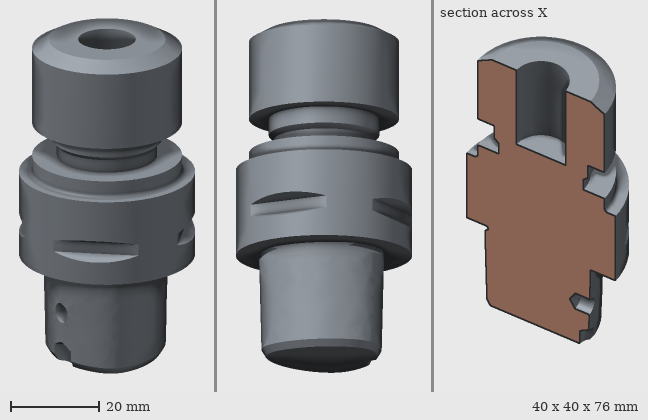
import cadquery as cq
import math

total_height = 76.0
chamfer_top_z = 1.6
taper_top_z = 21.5
flange_bottom_z = 24.0
flange_top_z = 44.0
collar_bottom_z = 44.9
collar_top_z = 47.95
neck_chamfer_bottom_z = 51.0
neck_chamfer_top_z = 52.05
nut_bottom_z = 55.85
nut_chamfer_z = 73.9

flange_radius = 20.0
collar_radius = 17.0
nut_radius = collar_radius
nut_face_radius = 13.2
neck_radius = 11.4
thread_radius = 12.55
collar_fillet = collar_bottom_z - flange_top_z

bore_radius = 6.5
bore_depth = 22.8

shank_radius = 14.1
lobe_height = 0.9
taper_per_side = 1 / 40
end_chamfer = 1.0
points_per_section = 48

relief_radius = 14.1
relief_top_radius = 14.45
relief_deepest_depth = 0.7
relief_height = 1.75
relief_outer_radius = 15.2

groove_count = 4
groove_floor_distance = 17.5
groove_floor_height = 2.65
groove_center_z = 31.9
groove_side_angle = 27.0

hole_radius = 2.32
hole_z = 12.55
hole_floor_y = -9.1
notch_radius = 3.4
notch_axis_y = -13.8
notch_shoulder_z = 3.95
drill_half_angle = 59.0


def lobed_section(mean_radius, z):
    """Closed three-lobed curve with one lobe toward +Y, from its distance to the tangent lines."""
    points = []
    for index in range(points_per_section):
        angle = 2 * math.pi * index / points_per_section
        tangent_distance = mean_radius + lobe_height * math.cos(3 * angle)
        slope = -3 * lobe_height * math.sin(3 * angle)
        x = tangent_distance * math.sin(angle) + slope * math.cos(angle)
        y = tangent_distance * math.cos(angle) - slope * math.sin(angle)
        points.append(cq.Vector(x, y, z))
    return cq.Wire.assembleEdges([cq.Edge.makeSpline(points, periodic=True)])


def lobed_loft(lower_radius, lower_z, upper_radius, upper_z):
    sections = [lobed_section(lower_radius, lower_z), lobed_section(upper_radius, upper_z)]
    return cq.Workplane(obj=cq.Solid.makeLoft(sections, True))


def make_shank():
    chamfer_radius = shank_radius - taper_per_side * (taper_top_z - chamfer_top_z)
    end = lobed_loft(chamfer_radius - end_chamfer, 0, chamfer_radius, chamfer_top_z)
    taper = lobed_loft(chamfer_radius, chamfer_top_z, shank_radius, taper_top_z)
    straight = lobed_loft(shank_radius, taper_top_z, shank_radius, flange_bottom_z)
    return end.union(taper).union(straight)


def make_relief():
    profile = (
        cq.Workplane("XZ")
        .moveTo(relief_top_radius, flange_bottom_z)
        .lineTo(relief_radius, flange_bottom_z - relief_deepest_depth)
        .lineTo(relief_outer_radius, flange_bottom_z - relief_height)
        .lineTo(relief_outer_radius, flange_bottom_z)
        .close()
    )
    return profile.revolve(360, (0, 0, 0), (0, 1, 0))


def make_turned_body():
    fillet_middle = collar_fillet * (1 - math.sqrt(0.5))
    profile = (
        cq.Workplane("XZ")
        .moveTo(0, flange_bottom_z)
        .lineTo(flange_radius, flange_bottom_z)
        .lineTo(flange_radius, flange_top_z)
        .lineTo(collar_radius + collar_fillet, flange_top_z)
        .threePointArc(
            (collar_radius + fillet_middle, flange_top_z + fillet_middle),
            (collar_radius, collar_bottom_z),
        )
        .lineTo(collar_radius, collar_top_z)
        .lineTo(neck_radius, collar_top_z)
        .lineTo(neck_radius, neck_chamfer_bottom_z)
        .lineTo(thread_radius, neck_chamfer_top_z)
        .lineTo(thread_radius, nut_bottom_z)
        .lineTo(nut_radius, nut_bottom_z)
        .lineTo(nut_radius, nut_chamfer_z)
        .lineTo(nut_face_radius, total_height)
        .lineTo(bore_radius, total_height)
        .lineTo(bore_radius, total_height - bore_depth)
        .lineTo(0, total_height - bore_depth)
        .close()
    )
    return profile.revolve(360, (0, 0, 0), (0, 1, 0))


def make_gripper_groove(angle):
    """Straight trapezoidal groove, widening outward, at the given angle about Z."""
    groove_depth = flange_radius - groove_floor_distance
    floor_half = groove_floor_height / 2
    mouth_half = floor_half + groove_depth * math.tan(math.radians(groove_side_angle))
    groove = (
        cq.Workplane("XZ")
        .polyline([
            (groove_floor_distance, groove_center_z - floor_half),
            (flange_radius, groove_center_z - mouth_half),
            (flange_radius, groove_center_z + mouth_half),
            (groove_floor_distance, groove_center_z + floor_half),
        ])
        .close()
        .extrude(flange_radius, both=True)
    )
    return groove.rotate((0, 0, 0), (0, 0, 1), angle)


def make_drill(radius, length):
    """Drill shape along +Z: a cylinder from the origin with a conical point."""
    point_height = radius / math.tan(math.radians(drill_half_angle))
    outline = [(0, 0), (radius, 0), (radius, length), (0, length + point_height)]
    return cq.Workplane("XZ").polyline(outline).close().revolve(360, (0, 0, 0), (0, 1, 0))


def make_radial_hole():
    drill = make_drill(hole_radius, flange_radius + hole_floor_y)
    return drill.rotate((0, 0, 0), (1, 0, 0), -90).translate((0, -flange_radius, hole_z))


def make_end_notch():
    return make_drill(notch_radius, notch_shoulder_z).translate((0, notch_axis_y, 0))


shank = make_shank().cut(make_relief()).cut(make_radial_hole()).cut(make_end_notch())
body = make_turned_body()
for groove_index in range(groove_count):
    body = body.cut(make_gripper_groove((groove_index + 0.5) * 360 / groove_count))

result = body.union(shank)